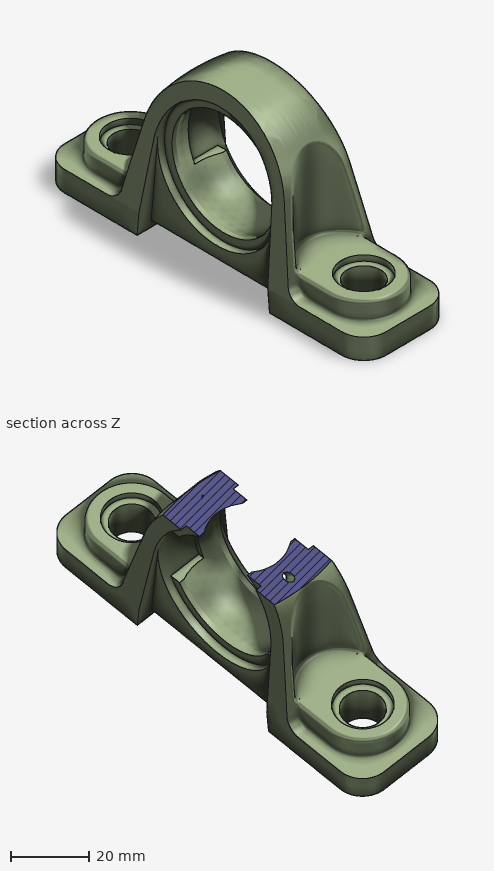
import cadquery as cq
import math

base_length = 116.0
base_width = 31.75
base_height = 7.4
base_corner_radius = 8.0

bore_height = 27.9
overall_height = 54.9
arch_radius = overall_height - bore_height
crown_radius = 66.0
leg_lean = 13.8
leg_fillet = 5.0
side_draft = 8.58

web_thickness = 22.0
web_bottom = 2.5
gap_half_width = 23.9

bore_radius = 18.65
counterbore_radius = 21.4
seat_width = 17.0
sphere_radius = 19.9
loading_slot_width = 19.0
loading_slot_radius = counterbore_radius
loading_slot_overrun = 1.5

bolt_offset = 42.1
pad_radius = 12.0
pad_top = 13.7
pad_round = 1.5
foot_fillet = 0.65
bolt_radius = 6.0
spotface_radius = 8.0
spotface_depth = 2.0

pocket_radius = pad_radius + foot_fillet
pocket_wall_offset = 21.7
pocket_floor_fillet = 1.3
pocket_mouth_round = 1.3

grease_hole_diameter = 2.5
grease_hole_angle = 45.0
grease_hole_shift = 1.4

half_width = base_width / 2

pick_margin = 0.5

SIDES = (-1, 1)


def make_base():
    plate = cq.Workplane("XY").rect(base_length, base_width).extrude(base_height)
    return plate.edges("|Z").fillet(base_corner_radius)


def crown_section(workplane):
    """Radial section from the bore axis out to the crowned rim (local X radial, local Y along the axis)."""
    drop = crown_radius - math.sqrt(crown_radius**2 - half_width**2)
    rim = arch_radius - drop
    return (
        workplane.moveTo(0, -half_width)
        .lineTo(rim, -half_width)
        .threePointArc((arch_radius, 0), (rim, half_width))
        .lineTo(0, half_width)
        .close()
    )


def make_leg(side):
    """Crowned section swept straight down along the tangent of the drum."""
    lean = math.radians(leg_lean)
    outward = (side * math.cos(lean), 0, math.sin(lean))
    downward = (side * math.sin(lean), 0, -math.cos(lean))
    section_plane = cq.Plane(origin=(0, 0, bore_height), xDir=outward, normal=downward)
    return crown_section(cq.Workplane(section_plane)).extrude(overall_height)


def make_arch():
    """Drum, two legs and the core between them, trimmed to the side draft."""
    drum_plane = cq.Plane(origin=(0, 0, bore_height), xDir=(1, 0, 0), normal=(0, 0, 1))
    arch = crown_section(cq.Workplane(drum_plane)).revolve(axisStart=(0, 0), axisEnd=(0, 1))
    for side in SIDES:
        arch = arch.union(make_leg(side))
    core = cq.Workplane("XY").box(2 * gap_half_width, base_width, bore_height, centered=(True, True, False))
    return arch.union(core).intersect(make_draft_envelope())


def make_draft_envelope():
    """Prism along X: upright up to the base top, then narrowing with the side draft."""
    rise = overall_height - base_height
    top_half_width = half_width - rise * math.tan(math.radians(side_draft))
    return (
        cq.Workplane("YZ")
        .moveTo(-half_width, 0)
        .lineTo(half_width, 0)
        .lineTo(half_width, base_height)
        .lineTo(top_half_width, overall_height)
        .lineTo(-top_half_width, overall_height)
        .lineTo(-half_width, base_height)
        .close()
        .extrude(base_length / 2, both=True)
    )


def edges_in_box(body, low, high):
    """Edges whose centers lie between two opposite box corners."""
    return body.edges(cq.selectors.BoxSelector(low, high))


def fillet_leg_feet(body):
    """Round the inside corners where the legs rise from the base top."""
    low = (-bolt_offset, -half_width + pick_margin, base_height - pick_margin)
    high = (bolt_offset, half_width - pick_margin, base_height + pick_margin)
    return edges_in_box(body, low, high).fillet(leg_fillet)


def stadium(side, inner_center, radius, height):
    """Stadium outline along X from an inner center to the bolt axis."""
    length = bolt_offset - inner_center + 2 * radius
    middle = side * (bolt_offset + inner_center) / 2
    return cq.Workplane("XY", origin=(middle, 0, height)).slot2D(length, 2 * radius)


def cut_pocket(body, side):
    """Scoop the leg above the pad, with a rounded floor corner and mouth."""
    pocket_center = pocket_wall_offset + pocket_radius
    pocket = stadium(side, pocket_center, pocket_radius, pad_top).extrude(overall_height)
    body = body.cut(pocket.faces("<Z").edges().fillet(pocket_floor_fillet))
    mouth_ends = sorted((side * (pocket_wall_offset - pick_margin), side * pocket_center))
    low = (mouth_ends[0], -pocket_radius, pad_top + pocket_floor_fillet + pick_margin)
    high = (mouth_ends[1], pocket_radius, overall_height)
    return edges_in_box(body, low, high).fillet(pocket_mouth_round)


def add_pad(body, side):
    """Pad running from the leg to a round outer end, with a rounded top and a filleted foot."""
    pad = stadium(side, pocket_wall_offset, pad_radius, 0).extrude(pad_top)
    body = body.union(pad.faces(">Z").edges().fillet(pad_round))
    foot_ends = sorted((side * pocket_wall_offset, side * (bolt_offset + pad_radius)))
    low = (foot_ends[0], -pad_radius - pick_margin, base_height - pick_margin)
    high = (foot_ends[1], pad_radius + pick_margin, base_height + pick_margin)
    return edges_in_box(body, low, high).fillet(foot_fillet)


def cut_bolt_hole(body, side):
    spotface_plane = cq.Workplane("XY", origin=(side * bolt_offset, 0, pad_top - spotface_depth))
    spotface = spotface_plane.circle(spotface_radius).extrude(spotface_depth)
    hole = cq.Workplane("XY", origin=(side * bolt_offset, 0, 0)).circle(bolt_radius).extrude(pad_top)
    return body.cut(spotface).cut(hole)


def gap_wall_lean():
    """Lean of the gap walls, which run from the base bottom tangent to the counterbore."""
    reach = math.hypot(gap_half_width, bore_height)
    return math.atan2(gap_half_width, bore_height) - math.asin(counterbore_radius / reach)


def gap_prism(top):
    """Tapered gap between the legs, through the full width, from the base bottom to a given height."""
    top_half_width = gap_half_width - top * math.tan(gap_wall_lean())
    return (
        cq.Workplane("XZ")
        .moveTo(-gap_half_width, 0)
        .lineTo(gap_half_width, 0)
        .lineTo(top_half_width, top)
        .lineTo(-top_half_width, top)
        .close()
        .extrude(half_width, both=True)
    )


def axial_cylinder(radius, length):
    """Cylinder on the bore axis, centred on the part's middle plane."""
    return cq.Workplane("XZ", origin=(0, 0, bore_height)).circle(radius).extrude(length / 2, both=True)


def thin_web(body):
    """Clear both faces beside the web, up to where the gap walls touch the counterbore."""
    tangent_height = bore_height + counterbore_radius * math.sin(gap_wall_lean())
    web = cq.Workplane("XY").box(base_length, web_thickness, 2 * overall_height)
    return body.cut(gap_prism(tangent_height).cut(web)).cut(gap_prism(web_bottom))


def bearing_sphere():
    """Sphere revolved about the bore axis."""
    return (
        cq.Workplane("XY", origin=(0, 0, bore_height))
        .moveTo(0, -sphere_radius)
        .threePointArc((sphere_radius, 0), (0, sphere_radius))
        .close()
        .revolve(axisStart=(0, 0), axisEnd=(0, 1))
    )


def cut_bearing_seat(body):
    seat = cq.Workplane("XY").box(base_length, seat_width, 2 * overall_height)
    body = body.cut(axial_cylinder(counterbore_radius, base_width).cut(seat))
    body = body.cut(axial_cylinder(bore_radius, base_width))
    return body.cut(bearing_sphere())


def cut_loading_slot(body):
    """Flat-sided slot from the +Y face to just past the middle plane, for tipping the bearing insert in."""
    slot_depth = half_width + loading_slot_overrun
    band = cq.Workplane("XY", origin=(0, half_width - slot_depth / 2, bore_height)).box(
        base_length, slot_depth, loading_slot_width
    )
    return body.cut(axial_cylinder(loading_slot_radius, base_width).intersect(band))


def cut_grease_hole(body):
    angle = math.radians(grease_hole_angle)
    outward = (-math.cos(angle), 0, math.sin(angle))
    drill_plane = cq.Plane(origin=(0, grease_hole_shift, bore_height), xDir=(0, 1, 0), normal=outward)
    return body.cut(cq.Workplane(drill_plane).circle(grease_hole_diameter / 2).extrude(overall_height))


body = make_base().union(make_arch())
body = fillet_leg_feet(body)
for side in SIDES:
    body = cut_pocket(body, side)
    body = add_pad(body, side)
    body = cut_bolt_hole(body, side)
body = thin_web(body)
body = cut_bearing_seat(body)
body = cut_loading_slot(body)
result = cut_grease_hole(body)